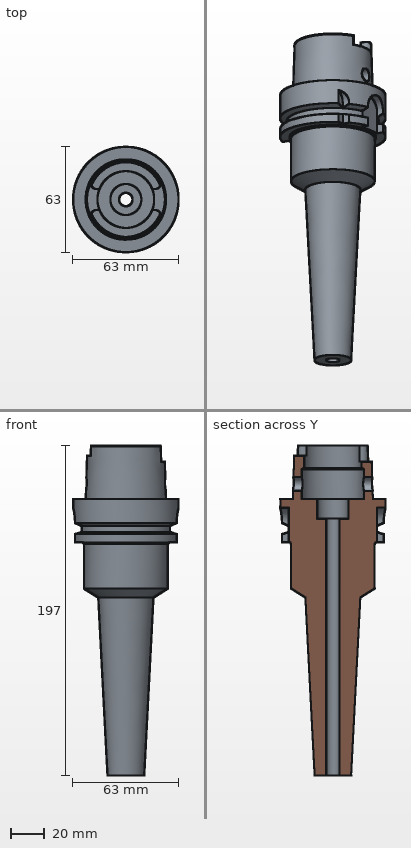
import cadquery as cq
import math

length = 197.0

nose_radius = 11.0
nose_top_radius = 16.5
nose_top = 106.2
body_radius = 25.0
body_bottom = 111.5
neck_radius = 25.8
neck_height = 1.0

flange_radius = 31.5
flange_bottom = 139.0
flange_top = 165.0
groove_radius = 27.5
groove_lower_edge = 144.0
groove_floor_bottom = 145.4
groove_floor_top = 149.0
groove_upper_edge = 150.7

shank_base_radius = 24.0
shank_tip_radius = 23.0
rim_chamfer = 0.8

lip_radius = 17.0
lip_depth = 13.4
undercut_radius = 18.5
clamp_angle = 60
cavity_depth = 32.0
counterbore_radius = 9.3
counterbore_depth = 11.8
bore_radius = 4.0

slot_width = 12.5
slot_corner_radius = 3.5
shallow_slot_depth = 6.1
deep_slot_depth = 9.7

cross_hole_radius = 4.0
cross_hole_height = length - 23.0

keyway_radius = 8.0
keyway_floor = 26.4
keyway_top = 159.8
notch_floor = 20.0
notch_inner_side = 19.7


def turned_blank():
    """Solid of revolution for the whole outside."""
    profile = [
        (0, 0),
        (nose_radius, 0),
        (nose_top_radius, nose_top),
        (body_radius, body_bottom),
        (body_radius, flange_bottom - neck_height),
        (neck_radius, flange_bottom),
        (flange_radius, flange_bottom),
        (flange_radius, groove_lower_edge),
        (groove_radius, groove_floor_bottom),
        (groove_radius, groove_floor_top),
        (flange_radius, groove_upper_edge),
        (flange_radius, flange_top),
        (shank_base_radius, flange_top),
        (shank_tip_radius, length - rim_chamfer),
        (shank_tip_radius - rim_chamfer, length),
        (0, length),
    ]
    return cq.Workplane("XZ").polyline(profile).close().revolve(360, (0, 0), (0, 1))


def cavity():
    """Inside space of the shank with the central bore through the nose."""
    lip_bottom = length - lip_depth
    cone_height = (undercut_radius - lip_radius) / math.tan(math.radians(clamp_angle))
    floor = length - cavity_depth
    counterbore_floor = floor - counterbore_depth
    profile = [
        (0, 0),
        (bore_radius, 0),
        (bore_radius, counterbore_floor),
        (counterbore_radius, counterbore_floor),
        (counterbore_radius, floor),
        (undercut_radius, floor),
        (undercut_radius, lip_bottom - cone_height),
        (lip_radius, lip_bottom),
        (lip_radius, length),
        (0, length),
    ]
    return cq.Workplane("XZ").polyline(profile).close().revolve(360, (0, 0), (0, 1))


def rim_slot(side, depth):
    """Slot in the rim whose outer corners flare out in arcs; side is -1 or +1."""
    half = slot_width / 2
    corner = slot_corner_radius
    flare_half = half + corner
    flare_end = math.sqrt(shank_tip_radius**2 - flare_half**2)
    flare_start = flare_end - corner
    arc_offset = corner * math.sqrt(0.5)
    mid_x = flare_start + arc_offset
    mid_y = flare_half - arc_offset
    return (
        cq.Workplane("XY", origin=(0, 0, length - depth))
        .moveTo(0, -half)
        .lineTo(side * flare_start, -half)
        .threePointArc((side * mid_x, -mid_y), (side * flare_end, -flare_half))
        .lineTo(side * flange_radius, -flare_half)
        .lineTo(side * flange_radius, flare_half)
        .lineTo(side * flare_end, flare_half)
        .threePointArc((side * mid_x, mid_y), (side * flare_start, half))
        .lineTo(0, half)
        .close()
        .extrude(depth)
    )


def cross_hole():
    """Hole along X through both shank walls."""
    return (
        cq.Workplane("YZ", origin=(0, 0, cross_hole_height))
        .circle(cross_hole_radius)
        .extrude(flange_radius, both=True)
    )


def flange_keyway(side, floor, center_y):
    """Round-topped keyway, open below the flange, cut along X down to |x| = floor."""
    arc_center = keyway_top - keyway_radius
    return (
        cq.Workplane("YZ", origin=(side * floor, center_y, 0))
        .moveTo(-keyway_radius, flange_bottom)
        .lineTo(-keyway_radius, arc_center)
        .threePointArc((0, keyway_top), (keyway_radius, arc_center))
        .lineTo(keyway_radius, flange_bottom)
        .close()
        .extrude(side * flange_radius)
    )


result = turned_blank().cut(cavity()).cut(cross_hole())

for side, depth in ((-1, shallow_slot_depth), (1, deep_slot_depth)):
    result = result.cut(rim_slot(side, depth))
    result = result.cut(flange_keyway(side, keyway_floor, 0))

result = result.cut(flange_keyway(-1, notch_floor, notch_inner_side + keyway_radius))